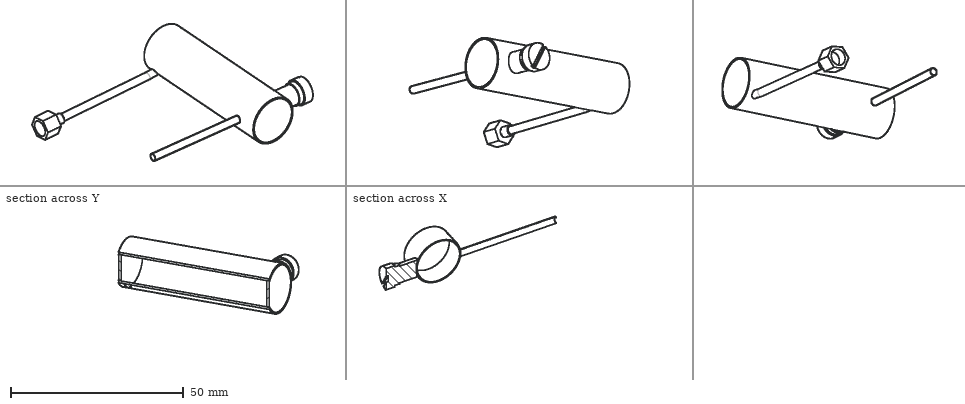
import cadquery as cq
import math

SHELL_LENGTH = 50.0
SHELL_OUTER_RADIUS = 15.0 / 2
SHELL_INNER_RADIUS = 14.0 / 2
END_DISC_THICKNESS = 1.0

BRANCH_X = 43.0
NECK_RADIUS = 6.35 / 2
COLLAR_RADIUS = 7.0 / 2
HEAD_RADIUS = 8.0 / 2
NECK_TOP_Y = 17.5
HEAD_LENGTH = 3.0
COLLAR_LENGTH = 1.6
SLOT_WIDTH = 1.0
SLOT_DEPTH = 0.7
SLOT_ANGLE = 120.0

TUBE_RADIUS = 2.38 / 2
TUBE_BORE_RADIUS = 2.0 / 2
STRAIGHT_TUBE_END_Y = -39.3

BEND_POINT = cq.Vector(3.05, -8.8, -4.87)
STUB_RISE = 0.1
NUT_END_CENTRE = cq.Vector(3.62, -49.49, -5.83)
NUT_ACROSS_FLATS = 6.35
NUT_LENGTH = 5.0
NUT_HOLE_RADIUS = 4.76 / 2
NUT_HOLE_DEPTH = 3.0
NUT_TURN = 7.0
FERRULE_RADIUS = 3.17 / 2
FERRULE_LENGTH = 3.0

ORIGIN = cq.Vector(0, 0, 0)
X_AXIS = cq.Vector(1, 0, 0)


def rod(radius, start, end):
    """Solid cylinder between two points."""
    axis = end - start
    return cq.Workplane(cq.Solid.makeCylinder(radius, axis.Length, start, axis))


def branch_point(y):
    """Point on the common axis of the neck and the straight tube."""
    return cq.Vector(BRANCH_X, y, 0)


def shell_envelope():
    """Full cylinder of the shell's outside, also used to seat the branches on it."""
    return rod(SHELL_OUTER_RADIUS, ORIGIN, X_AXIS * SHELL_LENGTH)


def make_shell():
    """Thin-walled tube, open at both ends."""
    bore = rod(SHELL_INNER_RADIUS, ORIGIN, X_AXIS * SHELL_LENGTH)
    return shell_envelope().cut(bore)


def make_end_disc(start_x):
    """Disc that closes one end of the shell, flush with its rim."""
    return rod(SHELL_INNER_RADIUS, X_AXIS * start_x, X_AXIS * (start_x + END_DISC_THICKNESS))


def make_neck():
    """Stepped neck seated on the shell, with a slot across its head."""
    head_base_y = NECK_TOP_Y - HEAD_LENGTH
    collar_base_y = head_base_y - COLLAR_LENGTH
    neck = rod(NECK_RADIUS, branch_point(0), branch_point(collar_base_y))
    neck = neck.union(rod(COLLAR_RADIUS, branch_point(collar_base_y), branch_point(head_base_y)))
    neck = neck.union(rod(HEAD_RADIUS, branch_point(head_base_y), branch_point(NECK_TOP_Y)))
    slot_length = 2.5 * HEAD_RADIUS
    slot = (
        cq.Workplane("XY")
        .box(slot_length, 2 * SLOT_DEPTH, SLOT_WIDTH)
        .rotate((0, 0, 0), (0, 1, 0), -SLOT_ANGLE)
        .translate(branch_point(NECK_TOP_Y))
    )
    return neck.cut(slot).cut(shell_envelope())


def make_straight_tube():
    """Open tube butted against the outside of the shell."""
    tube = rod(TUBE_RADIUS, branch_point(0), branch_point(STRAIGHT_TUBE_END_Y))
    bore = rod(TUBE_BORE_RADIUS, branch_point(0), branch_point(STRAIGHT_TUBE_END_Y))
    return tube.cut(bore).cut(shell_envelope())


LEG_AXIS = (NUT_END_CENTRE - BEND_POINT).normalized()
NUT_BACK_CENTRE = NUT_END_CENTRE - LEG_AXIS * NUT_LENGTH
FERRULE_START = NUT_BACK_CENTRE - LEG_AXIS * FERRULE_LENGTH


def make_bent_tube():
    """Short stub off the shell, then a long leg that runs through the ferrule to the nut."""
    stub_axis = cq.Vector(0, 1, STUB_RISE)
    stub_start = BEND_POINT + stub_axis * abs(BEND_POINT.y)
    path = cq.Workplane(cq.Wire.makePolygon([stub_start, BEND_POINT, NUT_BACK_CENTRE]))
    profile = cq.Workplane(cq.Plane(stub_start, X_AXIS, stub_axis * -1)).circle(TUBE_RADIUS)
    return profile.sweep(path, transition="right").cut(shell_envelope())


def make_ferrule():
    """Sleeve around the end of the bent tube, against the back of the nut."""
    sleeve = rod(FERRULE_RADIUS, FERRULE_START, NUT_BACK_CENTRE)
    return sleeve.cut(rod(TUBE_RADIUS, FERRULE_START, NUT_BACK_CENTRE))


def make_nut():
    """Hexagonal nut with a blind hole in its free end."""
    corner_direction = cq.Vector(
        math.cos(math.radians(NUT_TURN)), 0, math.sin(math.radians(NUT_TURN))
    )
    across_corners = NUT_ACROSS_FLATS / math.cos(math.radians(30))
    hexagon_plane = cq.Plane(NUT_BACK_CENTRE, corner_direction, LEG_AXIS)
    nut = cq.Workplane(hexagon_plane).polygon(6, across_corners).extrude(NUT_LENGTH)
    hole_floor = NUT_END_CENTRE - LEG_AXIS * NUT_HOLE_DEPTH
    return nut.cut(rod(NUT_HOLE_RADIUS, hole_floor, NUT_END_CENTRE))


shell = make_shell()
end_discs = [make_end_disc(x) for x in (0, SHELL_LENGTH - END_DISC_THICKNESS)]
neck = make_neck()
straight_tube = make_straight_tube()
bent_tube = make_bent_tube()
ferrule = make_ferrule()
nut = make_nut()

result = cq.Compound.makeCompound([
    shell.val(),
    *[disc.val() for disc in end_discs],
    *neck.vals(),
    *straight_tube.vals(),
    *bent_tube.vals(),
    ferrule.val(),
    nut.val(),
])